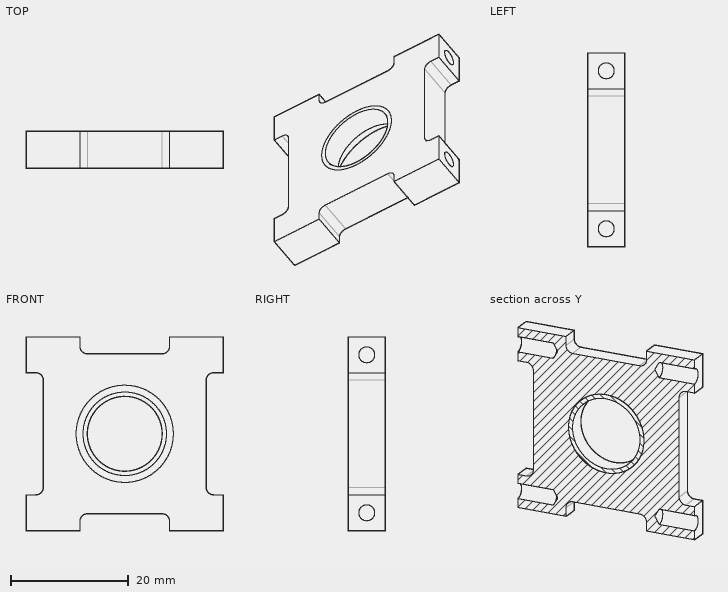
import cadquery as cq

width = 33.53
thickness = 6.35
height = 33.03
front_y = -thickness / 2

notch_depth = 2.9
top_notch_width = 15.22
side_notch_height = 20.75
notch_fillet = 1.25

counterbore_diameter = 16.55
counterbore_depth = 2.38
seat_diameter = 14.2
bushing_bore = 12.7

lug_hole_diameter = 2.7
lug_hole_depth = 6.7
drill_tip_length = 0.8
lug_hole_z = (height + side_notch_height) / 4


def cylinder_along_y(diameter, start_y, length):
    """Cylinder on the Y axis, running toward +Y from start_y."""
    return cq.Workplane("XZ", origin=(0, start_y, 0)).circle(diameter / 2).extrude(-length)


def notch(size_x, size_z, center_x, center_z):
    """Through-thickness notch cutter with rounded corners."""
    block = cq.Workplane("XY").box(size_x, thickness, size_z)
    return block.edges("|Y").fillet(notch_fillet).translate((center_x, 0, center_z))


def drilled_hole(side, z):
    """Cone-tipped hole cutter, entering the lug from the left (-1) or right (+1) face."""
    radius = lug_hole_diameter / 2
    bottom_x = width / 2 - lug_hole_depth
    profile = (
        cq.Workplane("XZ")
        .moveTo(side * width / 2, 0)
        .lineTo(side * width / 2, radius)
        .lineTo(side * bottom_x, radius)
        .lineTo(side * (bottom_x - drill_tip_length), 0)
        .close()
    )
    return profile.revolve(360, (0, 0), (1, 0)).translate((0, 0, z))


def make_plate():
    plate = cq.Workplane("XY").box(width, thickness, height)
    for side in (-1, 1):
        plate = plate.cut(notch(top_notch_width, 2 * notch_depth, 0, side * height / 2))
        plate = plate.cut(notch(2 * notch_depth, side_notch_height, side * width / 2, 0))
        for z in (-lug_hole_z, lug_hole_z):
            plate = plate.cut(drilled_hole(side, z))
    plate = plate.cut(cylinder_along_y(counterbore_diameter, front_y, counterbore_depth))
    return plate.cut(cylinder_along_y(seat_diameter, front_y, thickness))


def make_bushing():
    """Ring flush with the counterbore floor and the back of the plate."""
    start_y = front_y + counterbore_depth
    length = thickness - counterbore_depth
    ring = cylinder_along_y(seat_diameter, start_y, length)
    return ring.cut(cylinder_along_y(bushing_bore, start_y, length))


plate = make_plate()
bushing = make_bushing()

result = cq.Compound.makeCompound([plate.val(), bushing.val()])